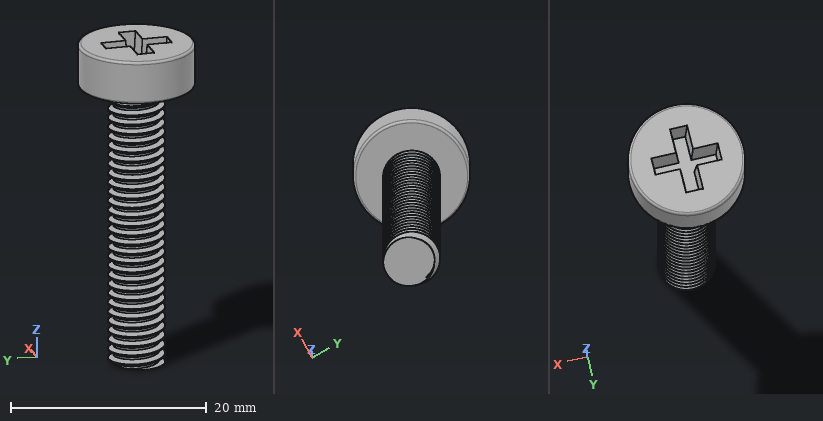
import cadquery as cq

total_length = 34.6
head_diameter = 12.0
head_height = 4.6
head_edge_radius = 0.28

thread_diameter = 5.88
core_diameter = 4.75
thread_turns = 30
crest_width = 0.1
root_gap = 0.25
first_crest_height = 0.263
root_overlap = 0.1

recess_span = 7.0
recess_arm_width = 1.8
recess_depth = 2.8
recess_draft = 5.0

shank_length = total_length - head_height
pitch = shank_length / thread_turns
core_radius = core_diameter / 2
thread_radius = thread_diameter / 2


def make_head():
    """Flat cylindrical head with both rims rounded."""
    head = cq.Workplane("XY", origin=(0, 0, shank_length)).circle(head_diameter / 2).extrude(head_height)
    return head.edges().fillet(head_edge_radius)


def make_ridge():
    """Right-handed helical thread ridge, running on past the tip and into the head."""
    start_height = first_crest_height - 2 * pitch
    ridge_length = shank_length + 3 * pitch
    path = cq.Wire.makeHelix(pitch, ridge_length, core_radius).translate(cq.Vector(0, 0, start_height))

    half_crest = crest_width / 2
    half_root = (pitch - root_gap) / 2
    flank_slope = (half_root - half_crest) / (thread_radius - core_radius)
    half_base = half_root + flank_slope * root_overlap
    base_radius = core_radius - root_overlap
    return (
        cq.Workplane("XZ")
        .moveTo(base_radius, start_height - half_base)
        .lineTo(thread_radius, start_height - half_crest)
        .lineTo(thread_radius, start_height + half_crest)
        .lineTo(base_radius, start_height + half_base)
        .close()
        .sweep(cq.Workplane(obj=path), isFrenet=True)
    )


def make_threaded_shank():
    """Core and ridge joined over-long, then trimmed flush with the tip and inside the head."""
    core = cq.Workplane("XY", origin=(0, 0, -3 * pitch)).circle(core_radius).extrude(shank_length + 6 * pitch)
    envelope = cq.Workplane("XY").rect(head_diameter, head_diameter).extrude(shank_length + pitch)
    return core.union(make_ridge()).intersect(envelope)


def make_recess():
    """Cross-shaped driver recess narrowing towards its flat floor."""
    top_plane = cq.Workplane("XY", origin=(0, 0, total_length))
    arm_along_x = top_plane.rect(recess_span, recess_arm_width).extrude(-recess_depth, taper=recess_draft)
    arm_along_y = arm_along_x.rotate((0, 0, 0), (0, 0, 1), 90)
    return arm_along_x.union(arm_along_y)



result = make_threaded_shank().union(make_head()).cut(make_recess())